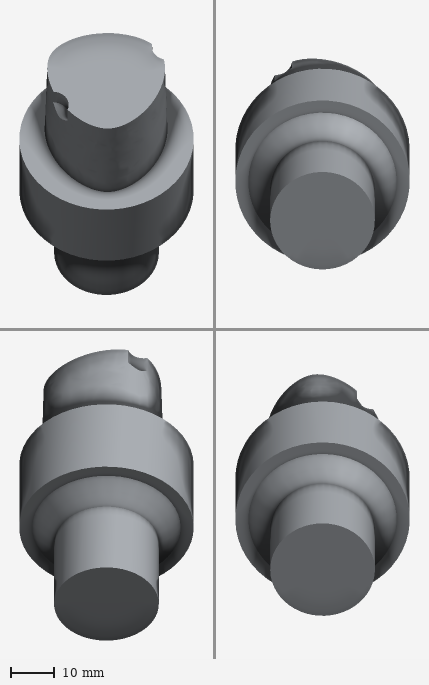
import cadquery as cq
import math

STEM_DIAMETER = 24.0
STEM_LENGTH = 19.5
CONE_HEIGHT = 5.0
CONE_TOP_DIAMETER = STEM_DIAMETER + 2 * CONE_HEIGHT
COLLAR_DIAMETER = 39.98
COLLAR_HEIGHT = 20.0
SHANK_HEIGHT = 24.0

SHANK_BASE_WIDTH = 28.2
SHANK_TAPER = 1 / 20
LOBE_RISE = 0.9
SHANK_TOP_WIDTH = SHANK_BASE_WIDTH - SHANK_TAPER * SHANK_HEIGHT

NOTCH_RADIUS = 3.7
NOTCH_DEPTH = 4.1
NOTCH_TIP_HEIGHT = NOTCH_RADIUS
FLAT_SIDE_NOTCH_Y = -14.55
LOBE_NOTCH_Y = 16.6

CONE_BOTTOM_Z = STEM_LENGTH
COLLAR_BOTTOM_Z = CONE_BOTTOM_Z + CONE_HEIGHT
COLLAR_TOP_Z = COLLAR_BOTTOM_Z + COLLAR_HEIGHT
TOP_Z = COLLAR_TOP_Z + SHANK_HEIGHT


def make_body():
    """Stem, flare and collar turned about the Z axis."""
    return (
        cq.Workplane("XZ")
        .lineTo(STEM_DIAMETER / 2, 0)
        .lineTo(STEM_DIAMETER / 2, CONE_BOTTOM_Z)
        .lineTo(CONE_TOP_DIAMETER / 2, COLLAR_BOTTOM_Z)
        .lineTo(COLLAR_DIAMETER / 2, COLLAR_BOTTOM_Z)
        .lineTo(COLLAR_DIAMETER / 2, COLLAR_TOP_Z)
        .lineTo(0, COLLAR_TOP_Z)
        .close()
        .revolve(360, (0, 0, 0), (0, 1, 0))
    )


def lobed_curve(width):
    """Curve of constant width with three lobes, one of them pointing along +Y."""

    def point(t):
        angle = 2 * math.pi * t
        along = width / 2 * math.cos(angle) + LOBE_RISE * (2 * math.cos(2 * angle) - math.cos(4 * angle))
        across = width / 2 * math.sin(angle) - LOBE_RISE * (2 * math.sin(2 * angle) + math.sin(4 * angle))
        return (-across, along)

    return point


def make_shank():
    """Lobed shank narrowing towards the top."""
    return (
        cq.Workplane("XY", origin=(0, 0, COLLAR_TOP_Z))
        .parametricCurve(lobed_curve(SHANK_BASE_WIDTH))
        .workplane(offset=SHANK_HEIGHT)
        .parametricCurve(lobed_curve(SHANK_TOP_WIDTH))
        .loft(ruled=True)
    )


def make_notch(y):
    """Drill-shaped cutter with a conical tip, its axis vertical at the given Y."""
    floor_z = TOP_Z - NOTCH_DEPTH
    return (
        cq.Workplane("XZ", origin=(0, y, 0))
        .moveTo(0, floor_z - NOTCH_TIP_HEIGHT)
        .lineTo(NOTCH_RADIUS, floor_z)
        .lineTo(NOTCH_RADIUS, TOP_Z)
        .lineTo(0, TOP_Z)
        .close()
        .revolve(360, (0, 0, 0), (0, 1, 0))
    )


result = make_body().union(make_shank())
for notch_y in (FLAT_SIDE_NOTCH_Y, LOBE_NOTCH_Y):
    result = result.cut(make_notch(notch_y))